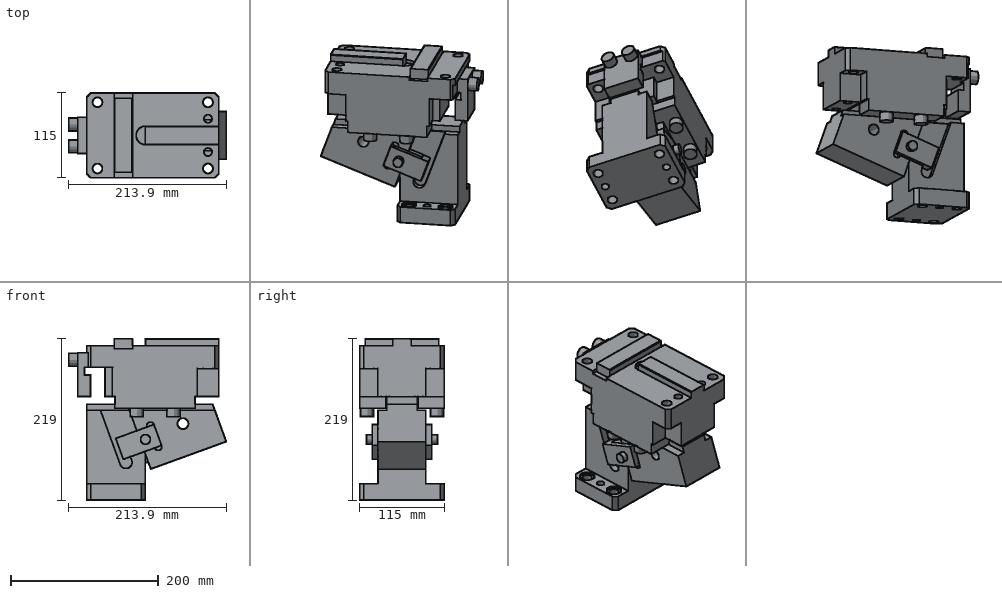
import cadquery as cq
import math


flange_width = 115.0
body_width = 65.0
corner_chamfer = 5.5
hole_inset = 15.0
hole_y = 45.0

base_length = 80.0
flange_height = 22.3
shoulder_z = 122.0
step_z = 130.0
column_neck_width = 40.0
base_hole_diameter = 13.0
counterbore_diameter = 20.0
counterbore_depth = 2.5
base_dowel_diameter = 10.0
lug_bottom_z = 51.0

tilt = math.radians(20)
pin_x = base_length
pin_z = 82.3
face_offset = 7.0
slot_radius = 8.3
slot_offset = 35.5
slot_end_drop = 20.1
recess_floor_y = 22.5

slider_foot_z = 42.0
slider_foot_length = 109.0
slider_neck_width = 41.8
head_left_x = 25.0
head_bottom_z = 140.4
cross_hole_diameter = 14.5
cross_hole_x = 130.7
cross_hole_z = 103.8
hook_back = 37.5
hook_front = 17.7
hook_height = 30.2
hook_outer_y = 40.5
hook_tip_clearance = 1.0
relief_radius = 5.0
pin_diameter = 13.1
pin_end_y = 48.2

holder_length = 179.5
plate_bottom_z = 180.0
plate_top_z = 209.4
end_bottom_z = 178.3
holder_top_z = 219.0
arm_left_x = 35.0
arm_right_x = 150.0
gib_left_x = 38.3
gib_right_x = 147.4
gib_bottom_z = 124.6
gib_gap = 43.4
holder_hole_diameter = 13.1
holder_dowel_diameter = 11.0
dowel_y = 22.5
key_width = 25.2
key_bottom_z = 205.0
key_edge_chamfer = 0.9
cross_key_x = 50.0
cross_key_length = 100.0
long_key_left_x = 80.0
seat_depth = 2.6
stop_left_x = -12.0
stop_foot_x = 5.5
stop_notch_x = -2.6
stop_notch_z = 169.7
stop_top_z = 200.0
stop_width = 49.5
screw_diameter = 18.0
stop_screw_height = 12.3
stop_screw_y = 15.0
stop_screw_z = 190.3
gib_screw_height = 11.4
gib_screw_y = 47.5
gib_screw_xs = (68.0, 118.0)


def box(x_range, width, z_range):
    """Block centred on the symmetry plane."""
    length = x_range[1] - x_range[0]
    height = z_range[1] - z_range[0]
    return cq.Workplane("XY").box(length, width, height, centered=(False, True, False)).translate(
        (x_range[0], 0, z_range[0])
    )


def upright(x, y, diameter, z_range):
    """Vertical cylinder."""
    height = z_range[1] - z_range[0]
    return cq.Workplane("XY", origin=(x, y, z_range[0])).circle(diameter / 2).extrude(height)


def profile(points, width):
    """Prism of an X-Z outline, centred on the symmetry plane."""
    return cq.Workplane("XZ").polyline(points).close().extrude(width / 2, both=True)


def tilted(side, inner_y):
    """Workplane at the pin centre: x along the tilted direction, extruding outwards in Y."""
    direction = (math.cos(tilt), 0, math.sin(tilt))
    plane = cq.Plane(origin=(pin_x, side * inner_y, pin_z), xDir=direction, normal=(0, -1, 0))
    return cq.Workplane(plane), -side


def tilted_box(side, u_range, v_range, y_range):
    """Block aligned with the tilted frame, on the side of the unit given by the sign."""
    plane, outward = tilted(side, y_range[0])
    length = u_range[1] - u_range[0]
    height = v_range[1] - v_range[0]
    middle = (sum(u_range) / 2, sum(v_range) / 2)
    return plane.center(*middle).rect(length, height).extrude(outward * (y_range[1] - y_range[0]))


def tilted_disc(side, centre, radius, y_range):
    """Cylinder along Y, placed in the tilted frame."""
    plane, outward = tilted(side, y_range[0])
    return plane.center(*centre).circle(radius).extrude(outward * (y_range[1] - y_range[0]))


def face_x(z):
    """X of the inclined face at height z."""
    return pin_x - face_offset / math.cos(tilt) - (z - pin_z) * math.tan(tilt)


half_body = body_width / 2
half_hook = hook_height / 2
face_end_z = pin_z - face_offset / math.sin(tilt)
slot_right = slot_radius - slot_offset


def column(width, top_z):
    """Upright prism cut off by the inclined face."""
    outline = [
        (0, 0),
        (base_length, 0),
        (base_length, face_end_z),
        (face_x(top_z), top_z),
        (0, top_z),
    ]
    return profile(outline, width)


def side_recess(side):
    """Round-ended slot for the hook, opened up to the inclined face above the ledge."""
    depth = (recess_floor_y, flange_width / 2)
    reach = step_z
    slot_left = -slot_offset - slot_radius
    slot = tilted_box(side, (slot_left, slot_right), (-slot_end_drop, reach), depth)
    slot_end = tilted_disc(side, (-slot_offset, -slot_end_drop), slot_radius, depth)
    opening = tilted_box(side, (slot_left, -face_offset), (half_hook, reach), depth)
    return slot.union(slot_end).union(opening)


def make_base():
    flange = box((0, base_length), flange_width, (0, flange_height))
    body = flange.edges("|Z").chamfer(corner_chamfer)
    body = body.union(column(body_width, shoulder_z)).union(column(column_neck_width, step_z))
    lug = [
        (base_length, lug_bottom_z),
        (face_x(lug_bottom_z), lug_bottom_z),
        (base_length, face_end_z),
    ]
    body = body.union(profile(lug, column_neck_width))
    for side in (-1, 1):
        body = body.cut(side_recess(side))
        for x in (hole_inset, base_length - hole_inset):
            body = body.cut(upright(x, side * hole_y, base_hole_diameter, (0, flange_height)))
            seat = (flange_height - counterbore_depth, flange_height)
            body = body.cut(upright(x, side * hole_y, counterbore_diameter, seat))
        dowel = upright(base_length / 2, side * hole_y, base_dowel_diameter, (0, flange_height))
        body = body.cut(dowel)
    return body


def slider_block(width, top_z):
    """Tilted prism between the inclined face and the parallel face opposite."""
    foot_x = face_x(slider_foot_z)
    toe_x = foot_x + slider_foot_length * math.cos(tilt)
    toe_z = slider_foot_z + slider_foot_length * math.sin(tilt)
    outline = [
        (foot_x, slider_foot_z),
        (toe_x, toe_z),
        (toe_x - (top_z - toe_z) * math.tan(tilt), top_z),
        (face_x(top_z), top_z),
    ]
    return profile(outline, width)


def hook(side):
    """Plate on the slider's side whose tip reaches behind the ledge of the base, with its pin."""
    v_range = (-half_hook, half_hook)
    plate = tilted_box(side, (-hook_back, hook_front), v_range, (half_body, hook_outer_y))
    tip_y = (recess_floor_y + hook_tip_clearance, half_body)
    tip = tilted_box(side, (-hook_back, slot_right), v_range, tip_y)
    pin = tilted_disc(side, (0, 0), pin_diameter / 2, (hook_outer_y, pin_end_y))
    return plate.union(tip).union(pin)


def make_slider():
    body = slider_block(body_width, shoulder_z).union(slider_block(slider_neck_width, step_z))
    neck = [
        (face_x(step_z), step_z),
        (gib_right_x, step_z),
        (gib_right_x, head_bottom_z),
        (face_x(head_bottom_z), head_bottom_z),
    ]
    body = body.union(profile(neck, slider_neck_width))
    body = body.union(box((head_left_x, arm_right_x), body_width, (head_bottom_z, plate_bottom_z)))
    cross_hole = cq.Workplane("XZ", origin=(cross_hole_x, 0, cross_hole_z))
    body = body.cut(cross_hole.circle(cross_hole_diameter / 2).extrude(body_width, both=True))
    for side in (-1, 1):
        for v in (-half_hook, half_hook):
            centre = (hook_front - relief_radius, v)
            body = body.cut(tilted_disc(side, centre, relief_radius, (recess_floor_y, half_body)))
        body = body.union(hook(side))
    return body


def make_plate():
    """Top plate with its underside step at the right, chamfered corners and the stop-plate seat."""
    blank = box((0, holder_length), flange_width, (end_bottom_z, plate_top_z))
    plate = blank.edges("|Z").chamfer(corner_chamfer)
    plate = plate.cut(box((0, arm_right_x), flange_width, (end_bottom_z, plate_bottom_z)))
    return plate.cut(box((0, seat_depth), flange_width, (plate_bottom_z, stop_top_z)))


def make_guide():
    """Side arms and the gibs below them, leaving a T-shaped channel, closed by an end block."""
    guide = box((arm_left_x, arm_right_x), flange_width, (head_bottom_z, plate_bottom_z))
    guide = guide.cut(box((arm_left_x, arm_right_x), body_width, (head_bottom_z, plate_bottom_z)))
    gibs = box((gib_left_x, gib_right_x), flange_width, (gib_bottom_z, head_bottom_z))
    gibs = gibs.cut(box((gib_left_x, gib_right_x), gib_gap, (gib_bottom_z, head_bottom_z)))
    end_block = box((arm_right_x, holder_length), body_width, (head_bottom_z, end_bottom_z))
    return guide.union(gibs).union(end_block)


def make_stop():
    """Notched stop plate on the left end, held by two screws."""
    outline = [
        (stop_left_x, head_bottom_z),
        (stop_foot_x, head_bottom_z),
        (stop_foot_x, stop_notch_z),
        (stop_notch_x, stop_notch_z),
        (stop_notch_x, plate_bottom_z),
        (seat_depth, plate_bottom_z),
        (seat_depth, stop_top_z),
        (stop_left_x, stop_top_z),
    ]
    screws = (
        cq.Workplane("YZ", origin=(stop_left_x, 0, stop_screw_z))
        .pushPoints([(-stop_screw_y, 0), (stop_screw_y, 0)])
        .circle(screw_diameter / 2)
        .extrude(-stop_screw_height)
    )
    return profile(outline, stop_width).union(screws)


def make_holder():
    body = make_plate().union(make_guide()).union(make_stop())

    cross_x = (cross_key_x - key_width / 2, cross_key_x + key_width / 2)
    seat_z = (key_bottom_z, plate_top_z)
    body = body.cut(box(cross_x, flange_width, seat_z))
    body = body.cut(box((long_key_left_x, holder_length), key_width, seat_z))
    body = body.cut(upright(long_key_left_x, 0, key_width, seat_z))

    key_z = (key_bottom_z, holder_top_z)
    cross_key = box(cross_x, cross_key_length, key_z)
    long_key = box((long_key_left_x, holder_length), key_width, key_z)
    body = body.union(cross_key.edges(">Z and |Y").chamfer(key_edge_chamfer))
    body = body.union(long_key.edges(">Z and |X").chamfer(key_edge_chamfer))

    right_hole_x = holder_length - hole_inset
    for side in (-1, 1):
        for x in (hole_inset, right_hole_x):
            hole = upright(x, side * hole_y, holder_hole_diameter, (end_bottom_z, plate_top_z))
            body = body.cut(hole)
        dowel_z = (head_bottom_z, plate_top_z)
        body = body.cut(upright(right_hole_x, side * dowel_y, holder_dowel_diameter, dowel_z))
        for x in gib_screw_xs:
            head_z = (gib_bottom_z - gib_screw_height, gib_bottom_z)
            body = body.union(upright(x, side * gib_screw_y, screw_diameter, head_z))
    return body


base = make_base()
slider = make_slider()
holder = make_holder()

result = cq.Compound.makeCompound([base.solids().val(), slider.solids().val(), holder.solids().val()])